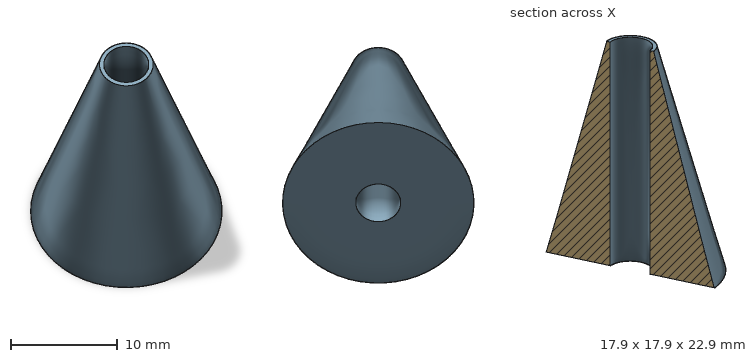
import cadquery as cq

height = 22.88
base_diameter = 17.95
tip_diameter = 5.03
bore_diameter = 4.2

bore_radius = bore_diameter / 2
wall_section = (
    cq.Workplane("XZ")
    .moveTo(bore_radius, 0)
    .lineTo(base_diameter / 2, 0)
    .lineTo(tip_diameter / 2, height)
    .lineTo(bore_radius, height)
    .close()
)
result = wall_section.revolve(360, (0, 0, 0), (0, 1, 0))